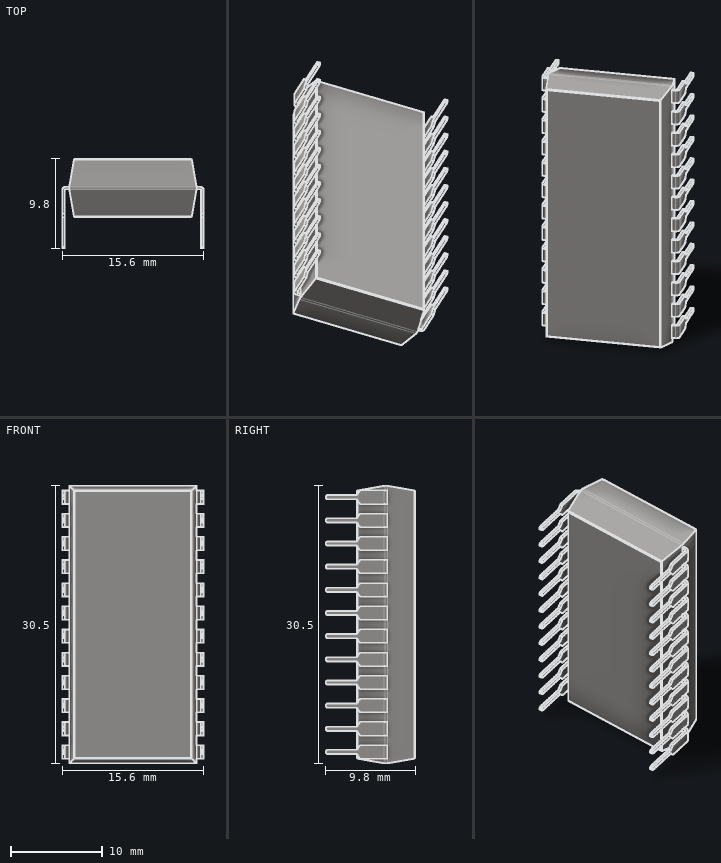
import cadquery as cq


body_length = 30.48
lead_span = 15.55
total_depth = 9.8

body_width = 14.0
half_depth = 3.05
face_width = 12.92
edge_draft = body_width - face_width
face_length = body_length - edge_draft
face_edge_chamfer = 0.1

leads_per_row = 12
row_length = 27.95
lead_pitch = row_length / (leads_per_row - 1)
lead_thickness = 0.3
bend_inner_radius = 0.1
shoulder_width = 1.5
shoulder_length = 3.0
shoulder_taper_length = 0.4
pin_width = 0.5
tip_chamfer = 0.15
root_embed = 0.3

back_face_y = total_depth / 2
lead_top_y = back_face_y - half_depth
lead_bottom_y = lead_top_y - lead_thickness
lead_tip_y = -total_depth / 2
shoulder_end_y = lead_top_y - shoulder_length
pin_start_y = shoulder_end_y - shoulder_taper_length
tip_start_y = lead_tip_y + tip_chamfer

bend_outer_radius = bend_inner_radius + lead_thickness
lead_outer_x = lead_span / 2
lead_inner_x = lead_outer_x - lead_thickness
lead_root_x = body_width / 2 - root_embed


def tapered_half(start_y, direction):
    """Half of the body, narrowing from the parting band to a chamfered flat face."""
    half = (
        cq.Workplane("XZ", origin=(0, start_y, 0))
        .rect(body_width, body_length)
        .workplane(offset=-direction * half_depth)
        .rect(face_width, face_length)
        .loft(ruled=True, combine=True)
    )
    flat_face = ">Y" if direction > 0 else "<Y"
    return half.faces(flat_face).chamfer(face_edge_chamfer)


def make_body():
    """Straight parting band, as thick as the leads, between two tapered halves."""
    band = (
        cq.Workplane("XZ", origin=(0, lead_top_y, 0))
        .rect(body_width, body_length)
        .extrude(lead_thickness)
    )
    back = tapered_half(lead_top_y, 1)
    front = tapered_half(lead_bottom_y, -1)
    return band.union(back).union(front)


def make_lead():
    """One lead on the +X side, centred on Z = 0: bent strip trimmed to a stepped outline."""
    strip = (
        cq.Workplane("XY")
        .moveTo(lead_root_x, lead_top_y)
        .lineTo(lead_outer_x - bend_outer_radius, lead_top_y)
        .radiusArc((lead_outer_x, lead_top_y - bend_outer_radius), bend_outer_radius)
        .lineTo(lead_outer_x, lead_tip_y)
        .lineTo(lead_inner_x, lead_tip_y)
        .lineTo(lead_inner_x, lead_bottom_y - bend_inner_radius)
        .radiusArc((lead_inner_x - bend_inner_radius, lead_bottom_y), -bend_inner_radius)
        .lineTo(lead_root_x, lead_bottom_y)
        .close()
        .extrude(shoulder_width / 2, both=True)
    )
    half_shoulder = shoulder_width / 2
    half_pin = pin_width / 2
    half_tip = half_pin - tip_chamfer
    outline = (
        cq.Workplane("YZ")
        .polyline([
            (lead_top_y, half_shoulder),
            (shoulder_end_y, half_shoulder),
            (pin_start_y, half_pin),
            (tip_start_y, half_pin),
            (lead_tip_y, half_tip),
            (lead_tip_y, -half_tip),
            (tip_start_y, -half_pin),
            (pin_start_y, -half_pin),
            (shoulder_end_y, -half_shoulder),
            (lead_top_y, -half_shoulder),
        ])
        .close()
        .extrude(lead_outer_x)
    )
    return strip.intersect(outline)


right_lead = make_lead()
left_lead = right_lead.mirror("YZ")

result = make_body()
for index in range(leads_per_row):
    lead_z = index * lead_pitch - row_length / 2
    for lead in (left_lead, right_lead):
        result = result.union(lead.translate((0, 0, lead_z)))